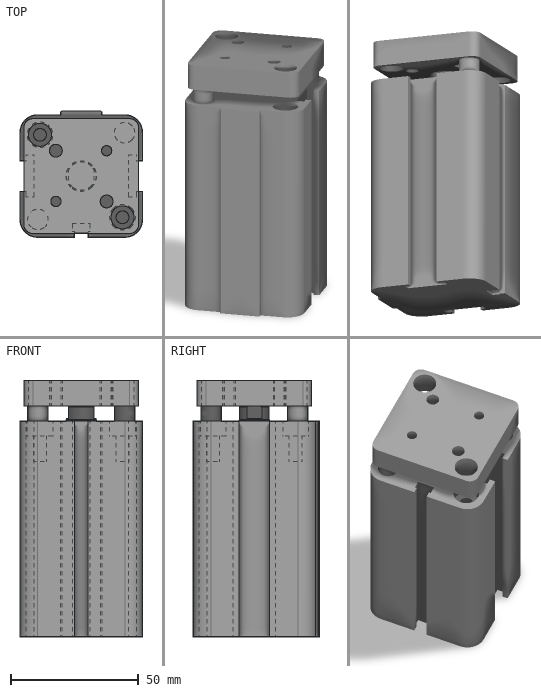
import cadquery as cq


total_height = 100.5
housing_height = 84.5
plate_thickness = 10.0
plate_bottom = total_height - plate_thickness
stroke_gap = plate_bottom - housing_height

housing_side = 48.0
housing_corner_radius = 6.9
overall_depth = 49.5

rail_width = 16.1
rail_height = overall_depth - housing_side
rail_chamfer = 0.5

slot_lip = 2.3
slot_depth = 5.4
wide_slot_opening = 12.0
wide_slot_inner_width = 16.6
narrow_slot_opening = 5.3
narrow_slot_inner_width = 6.8

screw_offset = 16.2
screw_recess_diameter = 10.0
screw_recess_depth = 5.7
screw_hole_diameter = 5.0
screw_hole_depth = 10.0

plate_side = 45.0
plate_corner_radius = 3.5
access_hole_diameter = 9.0
tool_hole_offset = 9.9
large_tool_hole_diameter = 5.0
small_tool_hole_diameter = 4.0

guide_rod_diameter = 8.0
guide_rod_offset = 17.0

piston_rod_diameter = 11.7
piston_tip_chamfer = 0.3
piston_collar_diameter = 12.0
piston_collar_height = 0.3
piston_collar_top = 0.6
wrench_flat_width = 10.0
wrench_flat_start = 1.0


def back_left_diagonal(offset):
    """Two points on the diagonal through the (-X, +Y) and (+X, -Y) corners."""
    return [(-offset, offset), (offset, -offset)]


def front_left_diagonal(offset):
    """Two points on the diagonal through the (-X, -Y) and (+X, +Y) corners."""
    return [(-offset, -offset), (offset, offset)]


def rounded_block(side, height, corner_radius):
    block = cq.Workplane("XY").rect(side, side).extrude(height)
    return block.edges("|Z").fillet(corner_radius)


def make_t_slot(opening, inner_width, turn):
    """Full-height T-slot cutter for the -Y face, turned about Z by `turn` degrees."""
    face = -housing_side / 2
    neck = cq.Workplane("XY").box(opening, slot_depth, housing_height, centered=(True, False, False))
    chamber = cq.Workplane("XY").box(
        inner_width, slot_depth - slot_lip, housing_height, centered=(True, False, False)
    )
    cutter = neck.union(chamber.translate((0, slot_lip, 0))).translate((0, face, 0))
    return cutter.rotate((0, 0, 0), (0, 0, 1), turn)


def make_rail():
    """Back rail with its two outer edges chamfered; it starts inside the housing wall."""
    root = rail_height
    rail = cq.Workplane("XY").box(
        rail_width, root + rail_height, housing_height, centered=(True, False, False)
    )
    rail = rail.faces(">Y").edges("|Z").chamfer(rail_chamfer)
    return rail.translate((0, housing_side / 2 - root, 0))


def make_housing():
    body = rounded_block(housing_side, housing_height, housing_corner_radius)
    body = body.union(make_rail())
    body = body.cut(make_t_slot(narrow_slot_opening, narrow_slot_inner_width, 0))
    for turn in (-90, 90):
        body = body.cut(make_t_slot(wide_slot_opening, wide_slot_inner_width, turn))

    top = cq.Workplane("XY").workplane(offset=housing_height)
    screw_points = back_left_diagonal(screw_offset)
    recesses = top.pushPoints(screw_points).circle(screw_recess_diameter / 2).extrude(-screw_recess_depth)
    holes = (
        top.pushPoints(screw_points)
        .circle(screw_hole_diameter / 2)
        .extrude(-(screw_recess_depth + screw_hole_depth))
    )
    return body.cut(recesses).cut(holes)


def make_tool_plate():
    plate = rounded_block(plate_side, plate_thickness, plate_corner_radius)
    hole_groups = [
        (back_left_diagonal(screw_offset), access_hole_diameter),
        (back_left_diagonal(tool_hole_offset), large_tool_hole_diameter),
        (front_left_diagonal(tool_hole_offset), small_tool_hole_diameter),
    ]
    for points, diameter in hole_groups:
        holes = cq.Workplane("XY").pushPoints(points).circle(diameter / 2).extrude(plate_thickness)
        plate = plate.cut(holes)
    return plate.translate((0, 0, plate_bottom))


def make_piston_rod():
    """Piston rod from the housing top to the plate, with a low tapered collar at its base."""
    radius = piston_rod_diameter / 2
    collar_radius = piston_collar_diameter / 2
    rod = (
        cq.Workplane("XZ")
        .moveTo(0, 0)
        .lineTo(collar_radius, 0)
        .lineTo(collar_radius, piston_collar_height)
        .lineTo(radius, piston_collar_top)
        .lineTo(radius, stroke_gap - piston_tip_chamfer)
        .lineTo(radius - piston_tip_chamfer, stroke_gap)
        .lineTo(0, stroke_gap)
        .close()
        .revolve(360, (0, 0, 0), (0, 1, 0))
    )
    base_plane = cq.Workplane("XY")
    round_base = base_plane.circle(collar_radius).extrude(wrench_flat_start)
    flatted = base_plane.rect(wrench_flat_width, piston_collar_diameter).extrude(stroke_gap)
    return rod.intersect(round_base.union(flatted)).translate((0, 0, housing_height))


def make_guide_rods():
    return (
        cq.Workplane("XY")
        .workplane(offset=housing_height)
        .pushPoints(front_left_diagonal(guide_rod_offset))
        .circle(guide_rod_diameter / 2)
        .extrude(stroke_gap)
    )


def make_yoke():
    """The moving body: plate, guide rods and piston rod in one piece."""
    return make_tool_plate().union(make_guide_rods()).union(make_piston_rod())


housing = make_housing()
yoke = make_yoke()

result = cq.Compound.makeCompound([housing.solids().val(), yoke.solids().val()])